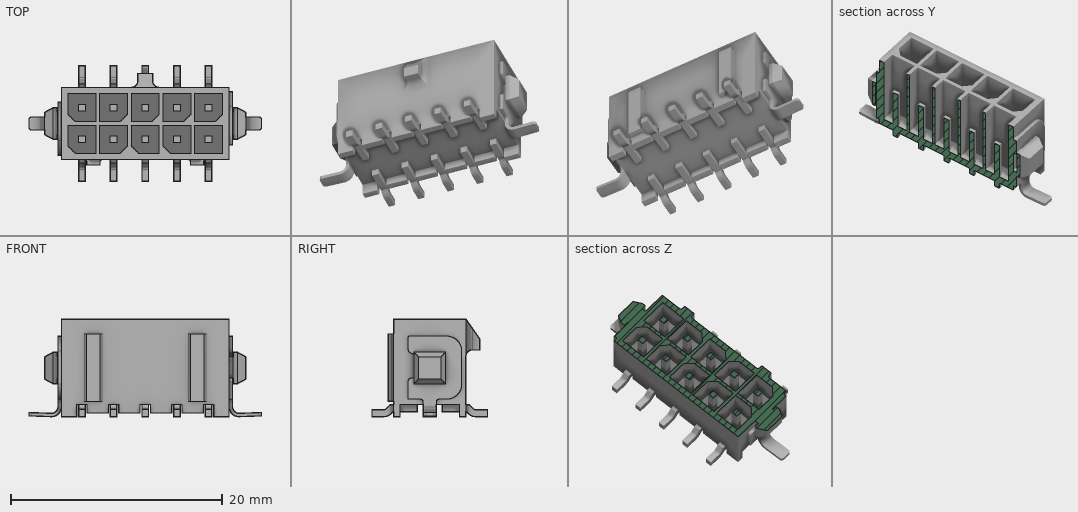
import cadquery as cq
import math


OVERALL_LENGTH = 22.04
OVERALL_DEPTH = 10.94

ARC_MIDPOINT = 1 - math.sqrt(0.5)

COLUMNS = 5
PITCH = 3.0
BODY_LENGTH = 15.88
BODY_DEPTH = 6.86
BODY_HEIGHT = 9.24
WALL_FACE_X = BODY_LENGTH / 2
WALL_FACE_Y = BODY_DEPTH / 2
UNDERSIDE_Z = 1.14
SKIRT_THICKNESS = 0.62
SKIRT_BOTTOM_Z = 0.35
NOTCH_WIDTH = 0.96

CAVITY_SIZE = 2.65
CAVITY_FLOOR_Z = 2.0
KEY_CHAMFER = 0.7
BACK_ROW_KEYS = [-1, 1, 1, 1, 1]
FRONT_ROW_KEYS = [-1, 1, -1, -1, 0]

PIN_SIZE = 0.64
PIN_TIP_Z = 6.0
LEAD_THICKNESS = 0.67
LEAD_REACH_Y = OVERALL_DEPTH / 2
LEAD_SLOPE_START_Y = 3.75
LEAD_BEND_RADIUS = 0.35

RIB_FACE_WIDTH = 1.28
RIB_OFFSET_X = 4.92
RIB_BOTTOM_Z = 1.46
RIB_HEIGHT = 6.39
RIB_PROTRUSION = 0.52
RIB_ROOT_RADIUS = 0.2

LATCH_WIDTH = 1.43
LATCH_REACH = 1.32
LATCH_TIP_TOP_Z = 7.36
LATCH_BOTTOM_Z = 6.32
LATCH_ROOT_RADIUS = 0.6

BOSS_CENTRE_Z = BODY_HEIGHT / 2
HEAD_SIZE = 3.0
HEAD_TIP_SIZE = 2.13
HEAD_START_X = 8.33
HEAD_TAPER_X = 8.73
HEAD_TIP_X = 9.53
STEM_HALF_WIDTH = 1.05
STEM_BOTTOM_Z = 3.67
STEM_TOP_Z = 5.67
STEM_CORNER_RADIUS = 0.27

CLIP_THICKNESS = 0.34
CLIP_OPEN_Y = 2.04
CLIP_BACK_Y = -3.03
CLIP_BOTTOM_Z = 1.67
CLIP_TOP_Z = 7.64
CLIP_BACK_RADIUS = 1.42
CLIP_TOP_CORNER_RADIUS = 0.1
MOUTH_TOP_Z = 6.16
MOUTH_RADIUS = 0.33
TAIL_WIDTH = 1.25
TAIL_ROOT_RADIUS = 0.28
TAIL_BEND_RADIUS = 0.6
TAIL_TILT = 2.0
TAIL_REACH_X = OVERALL_LENGTH / 2
TAIL_TIP_RADIUS = 0.25


def box(x0, x1, y0, y1, z0, z1):
    """Axis-aligned box between two opposite corners."""
    return cq.Workplane("XY").box(x1 - x0, y1 - y0, z1 - z0, centered=False).translate((x0, y0, z0))


def column_x(column):
    return (column - (COLUMNS - 1) / 2) * PITCH


def turn_half(shape):
    """Copy of a shape turned half a turn about Z."""
    return shape.rotate((0, 0, 0), (0, 0, 1), 180)


def make_skirt():
    """Lower edge of the -Y wall: corner feet, a raised middle and a notch at every lead."""
    inner_y = -WALL_FACE_Y + SKIRT_THICKNESS
    skirt = box(-WALL_FACE_X, WALL_FACE_X, -WALL_FACE_Y, inner_y, 0, UNDERSIDE_Z)
    middle = column_x(COLUMNS - 1)
    skirt = skirt.cut(box(-middle, middle, -WALL_FACE_Y, inner_y, 0, SKIRT_BOTTOM_Z))
    half = NOTCH_WIDTH / 2
    for column in range(COLUMNS):
        x = column_x(column)
        skirt = skirt.cut(box(x - half, x + half, -WALL_FACE_Y, inner_y, 0, UNDERSIDE_Z))
    return skirt


def make_cavity(x, y, key):
    """Void of one cavity, with its keying corner left solid."""
    half = CAVITY_SIZE / 2
    void = box(x - half, x + half, y - half, y + half, CAVITY_FLOOR_Z, BODY_HEIGHT)
    if key == 0:
        return void
    keyed_side = "<X" if key < 0 else ">X"
    return void.faces(keyed_side).edges("<Y").chamfer(KEY_CHAMFER)


def make_housing():
    skirt = make_skirt()
    housing = box(-WALL_FACE_X, WALL_FACE_X, -WALL_FACE_Y, WALL_FACE_Y, UNDERSIDE_Z, BODY_HEIGHT)
    housing = housing.union(skirt).union(turn_half(skirt))
    for y, keys in ((PITCH / 2, BACK_ROW_KEYS), (-PITCH / 2, FRONT_ROW_KEYS)):
        for column, key in enumerate(keys):
            housing = housing.cut(make_cavity(column_x(column), y, key))
    return housing


def make_contact(x):
    """Pin and lead of the +Y row at the given X."""
    half = PIN_SIZE / 2
    pin_inner_y = PITCH / 2 - half
    lead_bottom_z = UNDERSIDE_Z - LEAD_THICKNESS
    top_corner_y = LEAD_SLOPE_START_Y + UNDERSIDE_Z - LEAD_THICKNESS
    corner_shift = LEAD_THICKNESS * math.tan(math.radians(45 / 2))
    outline = [
        (pin_inner_y, lead_bottom_z),
        (LEAD_SLOPE_START_Y - corner_shift, lead_bottom_z),
        (top_corner_y - corner_shift, 0),
        (LEAD_REACH_Y, 0),
        (LEAD_REACH_Y, LEAD_THICKNESS),
        (top_corner_y, LEAD_THICKNESS),
        (LEAD_SLOPE_START_Y, UNDERSIDE_Z),
        (pin_inner_y, UNDERSIDE_Z),
    ]
    lead = cq.Workplane("YZ").polyline(outline).close().extrude(half, both=True)

    def edge_at(y, z):
        return cq.selectors.NearestToPointSelector((0, y, z))

    lead = lead.edges("|X").edges(edge_at(top_corner_y, LEAD_THICKNESS)).fillet(LEAD_BEND_RADIUS)
    lower_bend = lead.edges("|X").edges(edge_at(top_corner_y - corner_shift, 0))
    lead = lower_bend.fillet(LEAD_BEND_RADIUS + LEAD_THICKNESS)
    pin = box(-half, half, pin_inner_y, pin_inner_y + PIN_SIZE, lead_bottom_z, PIN_TIP_Z)
    return lead.union(pin).translate((x, 0, 0))


def make_rib(x):
    """Upright rib on the -Y wall with concave fillets along its two long sides."""
    half = RIB_FACE_WIDTH / 2
    root_half = half + RIB_ROOT_RADIUS
    root_y = -WALL_FACE_Y
    neck_y = root_y - RIB_ROOT_RADIUS
    tip_y = root_y - RIB_PROTRUSION
    mid = RIB_ROOT_RADIUS * ARC_MIDPOINT
    profile = (
        cq.Workplane("XY", origin=(x, 0, RIB_BOTTOM_Z))
        .moveTo(-root_half, root_y)
        .threePointArc((-half - mid, root_y - mid), (-half, neck_y))
        .lineTo(-half, tip_y)
        .lineTo(half, tip_y)
        .lineTo(half, neck_y)
        .threePointArc((half + mid, root_y - mid), (root_half, root_y))
        .close()
    )
    return profile.extrude(RIB_HEIGHT)


def make_latch():
    """Latch ramp, its sides and underside flaring into the +Y wall."""
    radius = LATCH_ROOT_RADIUS
    half = LATCH_WIDTH / 2
    mid = radius * ARC_MIDPOINT
    root_y = WALL_FACE_Y
    neck_y = root_y + radius
    tip_y = root_y + LATCH_REACH
    plan = (
        cq.Workplane("XY")
        .moveTo(-half - radius, root_y)
        .threePointArc((-half - mid, root_y + mid), (-half, neck_y))
        .lineTo(-half, tip_y)
        .lineTo(half, tip_y)
        .lineTo(half, neck_y)
        .threePointArc((half + mid, root_y + mid), (half + radius, root_y))
        .close()
        .extrude(BODY_HEIGHT)
    )
    side = (
        cq.Workplane("YZ")
        .moveTo(root_y, BODY_HEIGHT)
        .lineTo(tip_y, LATCH_TIP_TOP_Z)
        .lineTo(tip_y, LATCH_BOTTOM_Z)
        .lineTo(neck_y, LATCH_BOTTOM_Z)
        .threePointArc((root_y + mid, LATCH_BOTTOM_Z - mid), (root_y, LATCH_BOTTOM_Z - radius))
        .close()
        .extrude(half + radius, both=True)
    )
    return plan.intersect(side)


def make_boss():
    """Clip-holding boss on the -X end."""
    stem = box(-HEAD_START_X, -WALL_FACE_X, -STEM_HALF_WIDTH, STEM_HALF_WIDTH, STEM_BOTTOM_Z, STEM_TOP_Z)
    stem = stem.edges("|X").fillet(STEM_CORNER_RADIUS)
    half = HEAD_SIZE / 2
    head = box(-HEAD_TAPER_X, -HEAD_START_X, -half, half, BOSS_CENTRE_Z - half, BOSS_CENTRE_Z + half)
    taper = (
        cq.Workplane("YZ", origin=(-HEAD_TIP_X, 0, BOSS_CENTRE_Z))
        .rect(HEAD_TIP_SIZE, HEAD_TIP_SIZE)
        .workplane(offset=HEAD_TIP_X - HEAD_TAPER_X)
        .rect(HEAD_SIZE, HEAD_SIZE)
        .loft()
    )
    return stem.union(head).union(taper)


def make_clip_plate():
    """C-shaped plate on the -X wall, its slot opening towards +Y around the boss stem."""
    outer_x = -WALL_FACE_X - CLIP_THICKNESS
    plate = box(outer_x, -WALL_FACE_X, CLIP_BACK_Y, CLIP_OPEN_Y, CLIP_BOTTOM_Z, CLIP_TOP_Z)
    plate = plate.edges("|X and <Y").fillet(CLIP_BACK_RADIUS)
    plate = plate.faces(">Y").edges(">Z").fillet(CLIP_TOP_CORNER_RADIUS)
    slot_outline = [
        (-STEM_HALF_WIDTH, STEM_BOTTOM_Z),
        (CLIP_OPEN_Y, STEM_BOTTOM_Z),
        (CLIP_OPEN_Y, MOUTH_TOP_Z),
        (STEM_HALF_WIDTH, STEM_TOP_Z),
        (-STEM_HALF_WIDTH, STEM_TOP_Z),
    ]
    slot = (
        cq.Workplane("YZ", origin=(outer_x, 0, 0))
        .polyline(slot_outline)
        .close()
        .extrude(CLIP_THICKNESS)
    )
    plate = plate.cut(slot)
    for mouth_z in (STEM_BOTTOM_Z, MOUTH_TOP_Z):
        mouth = (-WALL_FACE_X, CLIP_OPEN_Y, mouth_z)
        plate = plate.edges("|X").edges(cq.selectors.NearestToPointSelector(mouth)).fillet(MOUTH_RADIUS)
    return plate


def make_clip_tail():
    """Strip that runs down from the plate and bends outwards into a slightly rising foot."""
    inner_r = TAIL_BEND_RADIUS
    outer_r = inner_r + CLIP_THICKNESS
    centre_x = -WALL_FACE_X - outer_r
    centre_z = outer_r
    tilt = math.radians(TAIL_TILT)
    bend_end = -math.pi / 2 - tilt
    foot_length = (TAIL_REACH_X + centre_x - outer_r * math.sin(tilt)) / math.cos(tilt)

    def on_bend(radius, angle):
        return (centre_x + radius * math.cos(angle), centre_z + radius * math.sin(angle))

    def foot_tip(radius):
        x, z = on_bend(radius, bend_end)
        return (x - foot_length * math.cos(tilt), z + foot_length * math.sin(tilt))

    strip = (
        cq.Workplane("XZ")
        .moveTo(-WALL_FACE_X, CLIP_BOTTOM_Z)
        .lineTo(*on_bend(outer_r, 0))
        .threePointArc(on_bend(outer_r, bend_end / 2), on_bend(outer_r, bend_end))
        .lineTo(*foot_tip(outer_r))
        .lineTo(*foot_tip(inner_r))
        .lineTo(*on_bend(inner_r, bend_end))
        .threePointArc(on_bend(inner_r, bend_end / 2), on_bend(inner_r, 0))
        .lineTo(-WALL_FACE_X - CLIP_THICKNESS, CLIP_BOTTOM_Z)
        .close()
        .extrude(TAIL_WIDTH / 2, both=True)
    )
    return strip.faces("<X").edges("not |Y").fillet(TAIL_TIP_RADIUS)


def make_clip():
    clip = make_clip_plate().union(make_clip_tail())
    for y in (-TAIL_WIDTH / 2, TAIL_WIDTH / 2):
        root = (-WALL_FACE_X - CLIP_THICKNESS / 2, y, CLIP_BOTTOM_Z)
        clip = clip.edges("|X").edges(cq.selectors.NearestToPointSelector(root)).fillet(TAIL_ROOT_RADIUS)
    return clip


result = make_housing().union(make_latch())
for rib_x in (-RIB_OFFSET_X, RIB_OFFSET_X):
    result = result.union(make_rib(rib_x))
for end_piece in (make_boss(), make_clip()):
    result = result.union(end_piece).union(turn_half(end_piece))
for column in range(COLUMNS):
    contact = make_contact(column_x(column))
    result = result.union(contact).union(turn_half(contact))